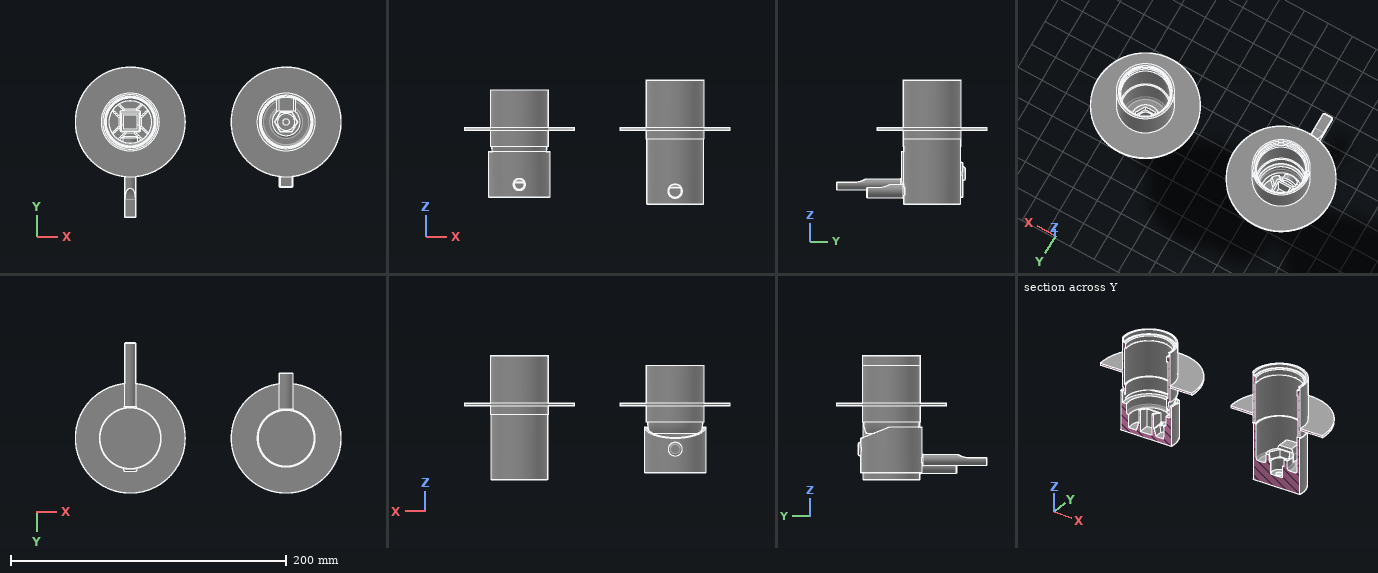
import cadquery as cq
import math


PLATE_DIAMETER = 80.0
PLATE_BOTTOM = 53.9
PLATE_THICKNESS = 2.0
SLEEVE_RADIUS = 21.0
SLEEVE_LIP_RADIUS = 18.0
SLEEVE_BORE_RADIUS = 19.0
SLEEVE_LIP_DEPTH = 8.3
LIP_CHAMFER = 0.8
LIP_CHAMFER_ANGLE = 45
KNOB_EDGE_CHAMFER = 0.4
LEVER_EDGE_CHAMFER = 0.5
LEVER_COLLAR_DEPTH = 1.2
LEVER_COLLAR_PROTRUSION = 0.5
LEVER_RUNOUT_RADIUS = 15.5
OVERALL_WIDTH = 193.2
VALVE_X = OVERALL_WIDTH - PLATE_DIAMETER

MIXER_SLEEVE_TOP = 83.3
MIXER_SLEEVE_BOTTOM = 42.0
MIXER_RECESS_RADIUS = 19.9
MIXER_RECESS_DEPTH = 3.5
BALL_RADIUS = 20.0
BALL_BOTTOM = 33.6
BALL_SEAT_THICKNESS = 2.9

CAP_RADIUS = 22.5
CAP_BOTTOM = 5.2
CAP_TOP = 38.5
CAP_FLOOR = 9.7
CAP_BORE_RADIUS = 17.4
CAP_BORE_BOTTOM = 20.3
CAP_BORE_FILLET = 2.0
CAP_BALL_CLEARANCE_RADIUS = 20.9
CAP_BALL_CLEARANCE_BOTTOM = 29.0
CAP_SLOPE_START_Y = 1.4
CAP_SLOPE_ANGLE = 21.4

SOCKET_SIDE = 13.0
SOCKET_TOP = 27.0
SOCKET_PIT_SIDE = 9.9
SOCKET_BASE_WIDTH = 16.6
SOCKET_BASE_DEPTH = 17.4
SOCKET_BASE_Y = 0.5
SOCKET_BASE_HEIGHT = 5.8
SOCKET_BASE_CORNER_FILLET = 2.0
SOCKET_BASE_DRAFT = 12
SOCKET_EDGE_FILLET = 0.4
SOCKET_SLOPE_START_Y = -2.1
RIB_WIDTH = 7.3
RIB_HEIGHT = 4.8
RIB_DRAFT = 13

MIXER_LEVER_RADIUS = 4.0
MIXER_LEVER_Z = 14.5
MIXER_LEVER_TIP_Y = -69.5
MIXER_LEVER_ROOT_Y = -13.5
MIXER_LEVER_COLLAR_RADIUS = 4.5
MIXER_LEVER_FLAT_HEIGHT = 1.7
MIXER_LEVER_FLAT_LENGTH = 13.1
MIXER_LEVER_BOSS_RADIUS = 5.5
MIXER_LEVER_BOSS_END_Y = -10.5
MIXER_LEVER_BOSS_CHAMFER = 1.2

PLUG_RADIUS = 5.0
PLUG_Z = 22.5
PLUG_INNER_Y = 19.7
PLUG_OUTER_Y = 24.2
PLUG_FILLET = 1.5

VALVE_SLEEVE_TOP = 90.2
VALVE_SLEEVE_BOTTOM = 47.5
VALVE_RECESS_RADIUS = 19.5
VALVE_RECESS_DEPTH = 2.9

KNOB_RADIUS = 20.7
KNOB_FLOOR = 17.4
KNOB_FLOOR_FILLET = 1.5
POST_RADIUS = 10.0
POST_TOP = 25.1
POST_ROOT_FILLET = 2.0
HEX_ACROSS_FLATS = 14.7
HEX_DRAFT = 3
HEX_BOTTOM = 19.3
SPINDLE_HOLE_RADIUS = 6.2
SPINDLE_HOLE_BOTTOM = 9.7
CENTRE_HOLE_RADIUS = 2.3
CENTRE_HOLE_DEPTH = 0.5
SCREW_BOSS_RADIUS = 7.0
SCREW_BOSS_Z = 23.4
SCREW_BOSS_FLAT_HEIGHT = 4.6
SCREW_BOSS_INNER_Y = 8.1
SCREW_BOSS_REACH = 19.7

VALVE_LEVER_RADIUS = 5.0
VALVE_LEVER_Z = 9.7
VALVE_LEVER_TIP_Y = -47.5
VALVE_LEVER_ROOT_Y = -13.5
VALVE_LEVER_COLLAR_RADIUS = 5.2
VALVE_LEVER_FLAT_HEIGHT = 2.7
VALVE_LEVER_FLAT_LENGTH = 8.9


def disc(radius, bottom, top):
    """Upright cylinder on the Z axis."""
    return cq.Workplane("XY").workplane(offset=bottom).circle(radius).extrude(top - bottom)


def rod(radius, z, y_start, y_end):
    """Cylinder along Y at height z."""
    return cq.Workplane("XZ", origin=(0, y_start, z)).circle(radius).extrude(y_start - y_end)


def slope_cutter(start_y, start_z):
    """Everything above a plane that falls toward +Y from (start_y, start_z)."""
    reach = 2 * CAP_RADIUS
    fall = reach * math.tan(math.radians(CAP_SLOPE_ANGLE))
    outline = [(start_y, start_z), (start_y + reach, start_z - fall), (start_y + reach, start_z + reach),
               (start_y, start_z + reach)]
    return cq.Workplane("YZ").polyline(outline).close().extrude(reach, both=True)


def wall_plate():
    plate = disc(PLATE_DIAMETER / 2, PLATE_BOTTOM, PLATE_BOTTOM + PLATE_THICKNESS)
    return plate.cut(disc(SLEEVE_RADIUS, PLATE_BOTTOM, PLATE_BOTTOM + PLATE_THICKNESS))


def sleeve_tube(bottom, top, recess_radius, recess_depth, bore_bottom):
    """Sleeve with a recess at the top rim, a chamfered lip and a wider bore below the lip."""
    lip_top = top - recess_depth
    tube = disc(SLEEVE_RADIUS, bottom, top).cut(disc(recess_radius, lip_top, top))
    tube = tube.cut(disc(SLEEVE_LIP_RADIUS, bottom, lip_top))
    tube = tube.cut(disc(SLEEVE_BORE_RADIUS, bore_bottom, top - SLEEVE_LIP_DEPTH))
    mouth = cq.Workplane("XY").workplane(offset=lip_top).circle(SLEEVE_LIP_RADIUS + LIP_CHAMFER)
    return tube.cut(mouth.extrude(-LIP_CHAMFER, taper=LIP_CHAMFER_ANGLE))


def mixer_sleeve():
    """Sleeve whose lower end is a hollow ball zone that the cap tilts on."""
    tube = sleeve_tube(MIXER_SLEEVE_BOTTOM, MIXER_SLEEVE_TOP, MIXER_RECESS_RADIUS, MIXER_RECESS_DEPTH,
                       MIXER_SLEEVE_BOTTOM + BALL_SEAT_THICKNESS)
    ball = cq.Workplane("XY").sphere(BALL_RADIUS).translate((0, 0, MIXER_SLEEVE_BOTTOM))
    zone = ball.intersect(disc(BALL_RADIUS, BALL_BOTTOM, MIXER_SLEEVE_BOTTOM))
    return tube.union(zone.cut(disc(SLEEVE_LIP_RADIUS, BALL_BOTTOM, MIXER_SLEEVE_BOTTOM)))


def valve_sleeve():
    return sleeve_tube(VALVE_SLEEVE_BOTTOM, VALVE_SLEEVE_TOP, VALVE_RECESS_RADIUS, VALVE_RECESS_DEPTH,
                       VALVE_SLEEVE_BOTTOM)


def lever(radius, z, root_y, tip_y, flat_height, flat_length):
    """Round rod with a thumb flat near the tip that runs out in a concave arc."""
    flat_z = z + flat_height
    flat_start_y = tip_y + flat_length
    arc_centre_z = flat_z + LEVER_RUNOUT_RADIUS
    cutter = (
        cq.Workplane("YZ")
        .moveTo(tip_y, flat_z)
        .lineTo(flat_start_y, flat_z)
        .radiusArc((flat_start_y + LEVER_RUNOUT_RADIUS, arc_centre_z), -LEVER_RUNOUT_RADIUS)
        .lineTo(tip_y, arc_centre_z)
        .close()
        .extrude(radius, both=True)
    )
    return rod(radius, z, root_y, tip_y).cut(cutter).faces("<Y").chamfer(LEVER_EDGE_CHAMFER)


def lever_collar(radius, z, body_radius):
    """Thin shoulder that seats the lever in the wall of its knob."""
    return rod(radius, z, LEVER_COLLAR_DEPTH - body_radius, -body_radius - LEVER_COLLAR_PROTRUSION)


def cap_ribs():
    """Two drafted bars crossing diagonally on the cap floor."""
    ribs = cq.Workplane("XY")
    for angle in (45, 135):
        bar = (
            cq.Workplane("XY")
            .workplane(offset=CAP_FLOOR)
            .transformed(rotate=(0, 0, angle))
            .rect(2 * CAP_RADIUS, RIB_WIDTH)
            .extrude(RIB_HEIGHT, taper=RIB_DRAFT)
        )
        ribs = ribs.add(bar)
    return ribs.combine()


def square_block(side):
    """Square block from the cap floor up to the socket top."""
    return cq.Workplane("XY").workplane(offset=CAP_FLOOR).rect(side, side).extrude(SOCKET_TOP - CAP_FLOOR)


def spindle_socket():
    """Square post on a drafted base, with a top that falls away toward +Y."""
    base = (
        cq.Workplane("XY")
        .workplane(offset=CAP_FLOOR)
        .center(0, SOCKET_BASE_Y)
        .sketch()
        .rect(SOCKET_BASE_WIDTH, SOCKET_BASE_DEPTH)
        .vertices()
        .fillet(SOCKET_BASE_CORNER_FILLET)
        .finalize()
        .extrude(SOCKET_BASE_HEIGHT, taper=SOCKET_BASE_DRAFT)
    )
    post = square_block(SOCKET_SIDE).edges("|Z").fillet(SOCKET_EDGE_FILLET)
    return base.union(post.cut(slope_cutter(SOCKET_SLOPE_START_Y, SOCKET_TOP)))


def cap_cavity():
    """Stepped cavity: a well for the ribs, a bore rounded into it, and clearance for the ball."""
    bore = disc(CAP_BORE_RADIUS, CAP_BORE_BOTTOM, CAP_TOP).faces("<Z").edges().fillet(CAP_BORE_FILLET)
    well = disc(CAP_BORE_RADIUS - CAP_BORE_FILLET, CAP_FLOOR, CAP_TOP)
    clearance = disc(CAP_BALL_CLEARANCE_RADIUS, CAP_BALL_CLEARANCE_BOTTOM, CAP_TOP)
    return bore.union(well).union(clearance)


def mixer_cap():
    lever_boss = rod(MIXER_LEVER_BOSS_RADIUS, MIXER_LEVER_Z, MIXER_LEVER_BOSS_END_Y, -CAP_BORE_RADIUS)
    lever_boss = lever_boss.faces(">Y").chamfer(MIXER_LEVER_BOSS_CHAMFER)
    fittings = cap_ribs().union(lever_boss).union(spindle_socket())
    fittings = fittings.intersect(disc(CAP_BORE_RADIUS, CAP_BOTTOM, CAP_TOP))

    cap = disc(CAP_RADIUS, CAP_BOTTOM, CAP_TOP).faces("<Z").edges().chamfer(KNOB_EDGE_CHAMFER)
    cap = cap.cut(cap_cavity()).union(fittings).cut(square_block(SOCKET_PIT_SIDE))
    cap = cap.cut(slope_cutter(CAP_SLOPE_START_Y, CAP_TOP))
    return cap.cut(rod(PLUG_RADIUS, PLUG_Z, PLUG_OUTER_Y, PLUG_INNER_Y)).cut(mixer_lever())


def mixer_lever():
    """Long thin lever that enters the cap wall and its boss."""
    bar = lever(MIXER_LEVER_RADIUS, MIXER_LEVER_Z, MIXER_LEVER_ROOT_Y, MIXER_LEVER_TIP_Y,
                MIXER_LEVER_FLAT_HEIGHT, MIXER_LEVER_FLAT_LENGTH)
    return bar.union(lever_collar(MIXER_LEVER_COLLAR_RADIUS, MIXER_LEVER_Z, CAP_RADIUS))


def screw_plug():
    """Rounded cover plug in the back of the mixer cap."""
    return rod(PLUG_RADIUS, PLUG_Z, PLUG_OUTER_Y, PLUG_INNER_Y).faces(">Y").edges().fillet(PLUG_FILLET)


def spindle_post():
    """Round post in the valve knob that flares into the floor."""
    flare = POST_RADIUS + POST_ROOT_FILLET
    profile = (
        cq.Workplane("XZ")
        .moveTo(0, KNOB_FLOOR)
        .lineTo(flare, KNOB_FLOOR)
        .radiusArc((POST_RADIUS, KNOB_FLOOR + POST_ROOT_FILLET), POST_ROOT_FILLET)
        .lineTo(POST_RADIUS, POST_TOP)
        .lineTo(0, POST_TOP)
        .close()
    )
    return profile.revolve(360, (0, 0), (0, 1))


def spindle_hole():
    """Drafted hexagon socket over a round hole with a shallow centre hole."""
    hexagon = (
        cq.Workplane("XY")
        .workplane(offset=POST_TOP)
        .polygon(6, HEX_ACROSS_FLATS / math.cos(math.pi / 6))
        .extrude(HEX_BOTTOM - POST_TOP, taper=HEX_DRAFT)
    )
    round_hole = disc(SPINDLE_HOLE_RADIUS, SPINDLE_HOLE_BOTTOM, HEX_BOTTOM)
    centre_hole = disc(CENTRE_HOLE_RADIUS, SPINDLE_HOLE_BOTTOM - CENTRE_HOLE_DEPTH, SPINDLE_HOLE_BOTTOM)
    return hexagon.union(round_hole).union(centre_hole)


def screw_boss():
    """Half-round boss with a flat top between the back wall and the spindle post."""
    boss = rod(SCREW_BOSS_RADIUS, SCREW_BOSS_Z, KNOB_RADIUS, SCREW_BOSS_INNER_Y)
    skirt = cq.Workplane("XY").box(2 * SCREW_BOSS_RADIUS, KNOB_RADIUS - SCREW_BOSS_INNER_Y,
                                   SCREW_BOSS_Z - KNOB_FLOOR, centered=(True, False, False))
    boss = boss.union(skirt.translate((0, SCREW_BOSS_INNER_Y, KNOB_FLOOR)))
    return boss.intersect(disc(SCREW_BOSS_REACH, KNOB_FLOOR, SCREW_BOSS_Z + SCREW_BOSS_FLAT_HEIGHT))


def valve_knob():
    cavity = disc(SLEEVE_LIP_RADIUS, KNOB_FLOOR, VALVE_SLEEVE_BOTTOM)
    cavity = cavity.faces("<Z").edges().fillet(KNOB_FLOOR_FILLET)
    knob = disc(KNOB_RADIUS, 0, VALVE_SLEEVE_BOTTOM).faces("<Z").edges().chamfer(KNOB_EDGE_CHAMFER)
    knob = knob.cut(cavity).union(spindle_post()).cut(spindle_hole()).union(screw_boss())
    return knob.cut(valve_lever())


def valve_lever():
    """Short thick lever that enters the solid foot of the knob."""
    bar = lever(VALVE_LEVER_RADIUS, VALVE_LEVER_Z, VALVE_LEVER_ROOT_Y, VALVE_LEVER_TIP_Y,
                VALVE_LEVER_FLAT_HEIGHT, VALVE_LEVER_FLAT_LENGTH)
    return bar.union(lever_collar(VALVE_LEVER_COLLAR_RADIUS, VALVE_LEVER_Z, KNOB_RADIUS))


plates = [wall_plate().translate((x, 0, 0)) for x in (0, VALVE_X)]
mixer_bodies = [mixer_sleeve(), mixer_cap(), mixer_lever(), screw_plug()]
valve_bodies = [body.translate((VALVE_X, 0, 0)) for body in (valve_sleeve(), valve_knob(), valve_lever())]

all_bodies = plates + mixer_bodies + valve_bodies

result = cq.Compound.makeCompound([body.solids().val() for body in all_bodies])